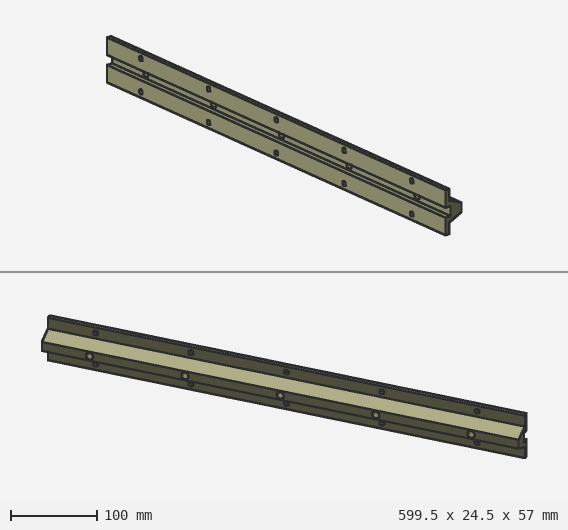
import cadquery as cq

length = 599.5
depth = 24.5
height = 57.0

flange_thickness = 6.0
rib_base_height = 27.5
rib_tip_height = 12.0
channel_height = 12.5
channel_depth = 8.0

hole_count = 5
hole_pitch = length / hole_count
flange_hole_diameter = 6.0
flange_hole_offset = 21.0
channel_hole_diameter = 9.0

front_y = -depth / 2
back_y = depth / 2
flange_back_y = front_y + flange_thickness


def make_rail():
    """Two flanges joined by a tapered rib that points toward +Y."""
    channel_floor_y = front_y + channel_depth
    upper_outline = [
        (channel_floor_y, channel_height / 2),
        (front_y, channel_height / 2),
        (front_y, height / 2),
        (flange_back_y, height / 2),
        (flange_back_y, rib_base_height / 2),
        (back_y, rib_tip_height / 2),
    ]
    lower_outline = [(y, -z) for y, z in reversed(upper_outline)]
    return (
        cq.Workplane("YZ")
        .polyline(upper_outline + lower_outline)
        .close()
        .extrude(length / 2, both=True)
    )


def make_hole_row(diameter, z):
    """A row of cylinders along X that pass right through the rail in Y."""
    first_x = -hole_pitch * (hole_count - 1) / 2
    centers = [(first_x + i * hole_pitch, z) for i in range(hole_count)]
    return (
        cq.Workplane("XZ")
        .pushPoints(centers)
        .circle(diameter / 2)
        .extrude(depth, both=True)
    )


result = make_rail().cut(make_hole_row(channel_hole_diameter, 0))
for side in (-1, 1):
    result = result.cut(make_hole_row(flange_hole_diameter, side * flange_hole_offset))